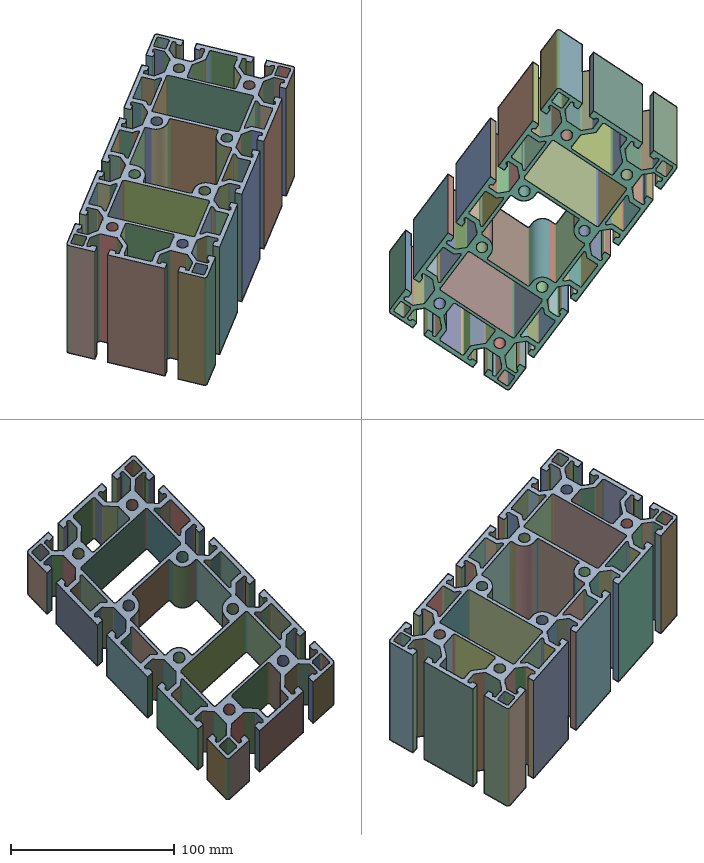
import cadquery as cq

width = 90.0
depth = 180.0
height = 100.0
module = 45.0
outer_radius = 1.8

slot_half_opening = 4.1
slot_half_lip = 8.0
slot_half_width = 10.5
slot_half_floor = 5.4
lip_depth = 4.5
notch_depth = 2.9
slot_floor_depth = 15.0
slot_wall_depth = slot_floor_depth - (slot_half_width - slot_half_floor)
slot_radius = 0.9
lip_radius = 0.5

skin = 2.9
end_web = 1.8
inner_web = 2.2
end_web_start = 28.0
inner_web_start = 60.8
side_wall = 2.2
bore_diameter = 7.0
boss_reach = 6.8
boss_round_radius = 8.0
boss_web_radius = 0.9
cavity_radius = 1.3

corner_cavity_start = 2.2
corner_cavity_size = 8.0
corner_cavity_radius = 0.9

pocket_half_mouth = 9.0
pocket_half_back = 11.5
pocket_slope_start = 11.2
pocket_radius = 0.7

end_half_width = 9.0
end_wall_depth = 10.8

selection_margin = 0.2

half_width = width / 2
half_depth = depth / 2
column_x = half_width - module / 2
end_row_y = half_depth - module / 2
inner_row_y = end_row_y - module
boss_face_x = column_x - boss_reach
chamber_half_width = half_width - slot_floor_depth - side_wall
end_web_outer_y = half_depth - end_web_start
inner_web_outer_y = half_depth - inner_web_start


def prism(points, radius):
    """Extrude a closed outline over the full height and round all its corners."""
    return cq.Workplane("XY").polyline(points).close().extrude(height).edges("|Z").fillet(radius)


def rectangle_prism(x_size, y_size, x, y, radius):
    """Rounded rectangular prism over the full height, centred on (x, y)."""
    return cq.Workplane("XY").center(x, y).rect(x_size, y_size).extrude(height).edges("|Z").fillet(radius)


def lengthwise_zone(half_x, y_start, y_end):
    """Selection box over the full height, slightly larger than the given X and Y limits."""
    lower = (-half_x - selection_margin, y_start - selection_margin, -selection_margin)
    upper = (half_x + selection_margin, y_end + selection_margin, height + selection_margin)
    return cq.selectors.BoxSelector(lower, upper)


def mirrored_outline(half):
    """Close a half outline with its mirror image across the Y axis."""
    return half + [(-x, y) for x, y in reversed(half)]


def make_slot():
    """T-slot that opens at y = 0 and runs inward along +Y."""
    half = [
        (slot_half_opening, 0),
        (slot_half_opening, lip_depth),
        (slot_half_lip, lip_depth),
        (slot_half_lip, notch_depth),
        (slot_half_width, notch_depth),
        (slot_half_width, slot_wall_depth),
        (slot_half_floor, slot_floor_depth),
    ]
    slot = cq.Workplane("XY").polyline(mirrored_outline(half)).close().extrude(height)
    slot = slot.edges("|Z").edges(lengthwise_zone(width, notch_depth, notch_depth)).fillet(slot_radius)
    slot = slot.edges("|Z").edges(lengthwise_zone(width, slot_wall_depth, slot_floor_depth)).fillet(slot_radius)
    return slot.edges("|Z").edges(lengthwise_zone(width, lip_depth, lip_depth)).fillet(lip_radius)


def make_side_pocket():
    """Pocket between two slots of the long face at x = 0, running inward along +X."""
    slope_end = pocket_slope_start + pocket_half_back - pocket_half_mouth
    half = [
        (skin, pocket_half_mouth),
        (pocket_slope_start, pocket_half_mouth),
        (slope_end, pocket_half_back),
        (slot_floor_depth, pocket_half_back),
    ]
    return prism(half + [(x, -y) for x, y in reversed(half)], pocket_radius)


def make_end_cavity():
    """Cavity between the two slots of the +Y short face, backed by the end web."""
    slope = boss_face_x - end_half_width
    half = [
        (end_half_width, half_depth - skin),
        (end_half_width, half_depth - end_wall_depth),
        (boss_face_x, half_depth - end_wall_depth - slope),
        (boss_face_x, end_web_outer_y),
    ]
    return prism(mirrored_outline(half), cavity_radius)


def make_centre_chamber():
    """Middle chamber: a cross whose four notches leave a rounded boss around each inner bore."""
    end_y = inner_web_outer_y - inner_web
    boss_face_y = inner_row_y - boss_reach
    along_y = rectangle_prism(2 * boss_face_x, 2 * end_y, 0, 0, boss_web_radius)
    along_x = rectangle_prism(2 * chamber_half_width, 2 * boss_face_y, 0, 0, boss_web_radius)
    boss_zone = lengthwise_zone(boss_face_x, -boss_face_y, boss_face_y)
    return along_y.union(along_x).edges("|Z").edges(boss_zone).fillet(boss_round_radius)


body = rectangle_prism(width, depth, 0, 0, outer_radius)

slot = make_slot()
for x in (-column_x, column_x):
    body = body.cut(slot.translate((x, -half_depth, 0)))
    body = body.cut(slot.rotate((0, 0, 0), (0, 0, 1), 180).translate((x, half_depth, 0)))
row_positions = (-end_row_y, -inner_row_y, inner_row_y, end_row_y)
for y in row_positions:
    body = body.cut(slot.rotate((0, 0, 0), (0, 0, 1), -90).translate((-half_width, y, 0)))
    body = body.cut(slot.rotate((0, 0, 0), (0, 0, 1), 90).translate((half_width, y, 0)))

corner_inset = corner_cavity_start + corner_cavity_size / 2
for x in (corner_inset - half_width, half_width - corner_inset):
    for y in (corner_inset - half_depth, half_depth - corner_inset):
        corner = rectangle_prism(corner_cavity_size, corner_cavity_size, x, y, corner_cavity_radius)
        body = body.cut(corner)

pocket = make_side_pocket()
for y in (-module, 0, module):
    body = body.cut(pocket.translate((-half_width, y, 0)))
    body = body.cut(pocket.mirror("YZ").translate((half_width, y, 0)))

end_cavity = make_end_cavity()
body = body.cut(end_cavity).cut(end_cavity.mirror("XZ"))
chamber_outer_y = end_web_outer_y - end_web
chamber_length = chamber_outer_y - inner_web_outer_y
chamber_y = (chamber_outer_y + inner_web_outer_y) / 2
for y in (-chamber_y, chamber_y):
    body = body.cut(rectangle_prism(2 * chamber_half_width, chamber_length, 0, y, cavity_radius))
body = body.cut(make_centre_chamber())

bores = [(x, y) for x in (-column_x, column_x) for y in row_positions]
result = body.cut(cq.Workplane("XY").pushPoints(bores).circle(bore_diameter / 2).extrude(height))